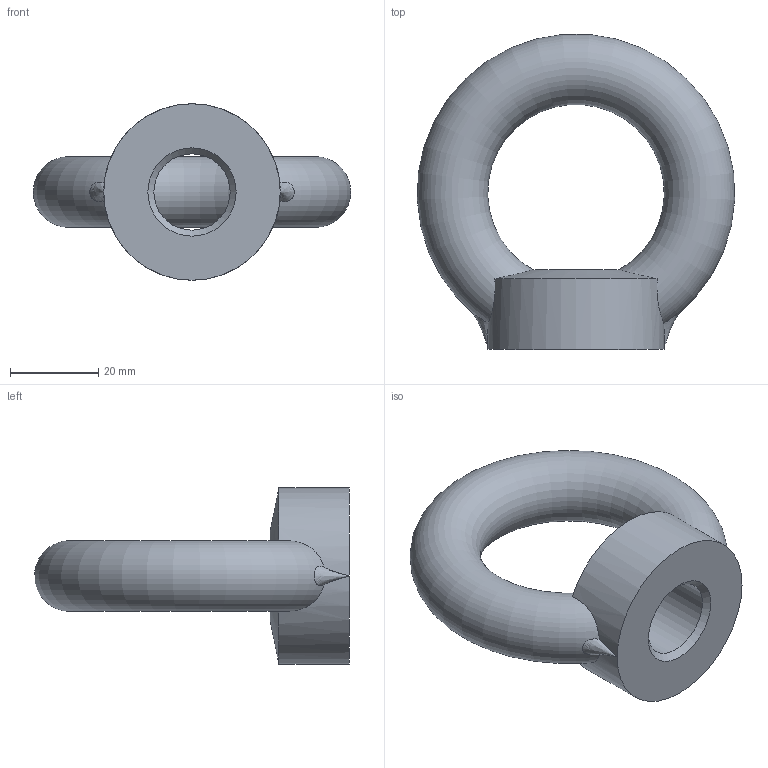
import cadquery as cq

RING_OUTER_DIAMETER = 72.0
RING_INNER_DIAMETER = 40.0
ring_outer_radius = RING_OUTER_DIAMETER / 2
bar_radius = (RING_OUTER_DIAMETER - RING_INNER_DIAMETER) / 4
ring_radius = (RING_OUTER_DIAMETER + RING_INNER_DIAMETER) / 4

BASE_DIAMETER = 40.0
BASE_FACE_Y = -35.5
BASE_SIDE_HEIGHT = 16.0
BASE_HEIGHT = 18.0
BASE_TOP_DIAMETER = 20.0
base_radius = BASE_DIAMETER / 2
base_top_radius = BASE_TOP_DIAMETER / 2
base_top_y = BASE_FACE_Y + BASE_HEIGHT

BORE_DIAMETER = 17.29
COUNTERSINK_DIAMETER = 20.0
bore_radius = BORE_DIAMETER / 2
countersink_radius = COUNTERSINK_DIAMETER / 2
countersink_depth = countersink_radius - bore_radius

HORN_LENGTH = 8.3
HORN_END_RADIUS = 3.4
HORN_FLARE_RADIUS = 25.0


def revolve_about_y(profile):
    """Revolve a closed profile a full turn about the local Y axis of its workplane."""
    return profile.revolve(360, (0, 0, 0), (0, 1, 0))


def make_ring():
    """Round bar bent into a full circle, closing inside the bore of the base."""
    return (
        cq.Workplane("YZ")
        .center(-ring_radius, 0)
        .circle(bar_radius)
        .revolve(360, (ring_radius, 0, 0), (ring_radius, 1, 0))
    )


def make_base():
    """Cylinder with a shallow conical top."""
    profile = (
        cq.Workplane("XY")
        .moveTo(0, BASE_FACE_Y)
        .lineTo(base_radius, BASE_FACE_Y)
        .lineTo(base_radius, BASE_FACE_Y + BASE_SIDE_HEIGHT)
        .lineTo(base_top_radius, base_top_y)
        .lineTo(0, base_top_y)
        .close()
    )
    return revolve_about_y(profile)


def make_bore():
    """Through bore and countersink, also clearing the ring where it passes through the base face."""
    profile = (
        cq.Workplane("XY")
        .moveTo(0, -ring_outer_radius)
        .lineTo(countersink_radius, -ring_outer_radius)
        .lineTo(countersink_radius, BASE_FACE_Y)
        .lineTo(bore_radius, BASE_FACE_Y + countersink_depth)
        .lineTo(bore_radius, base_top_y)
        .lineTo(0, base_top_y)
        .close()
    )
    return revolve_about_y(profile)


def make_right_horn():
    """Pointed horn, round about a line on the side of the base, flaring from the rim into the ring."""
    profile = (
        cq.Workplane("XY", origin=(base_radius, BASE_FACE_Y, 0))
        .radiusArc((HORN_END_RADIUS, HORN_LENGTH), HORN_FLARE_RADIUS)
        .lineTo(0, HORN_LENGTH)
        .close()
    )
    return revolve_about_y(profile)


right_horn = make_right_horn()
left_horn = right_horn.mirror("YZ")

result = make_ring().union(make_base()).union(right_horn).union(left_horn).cut(make_bore())